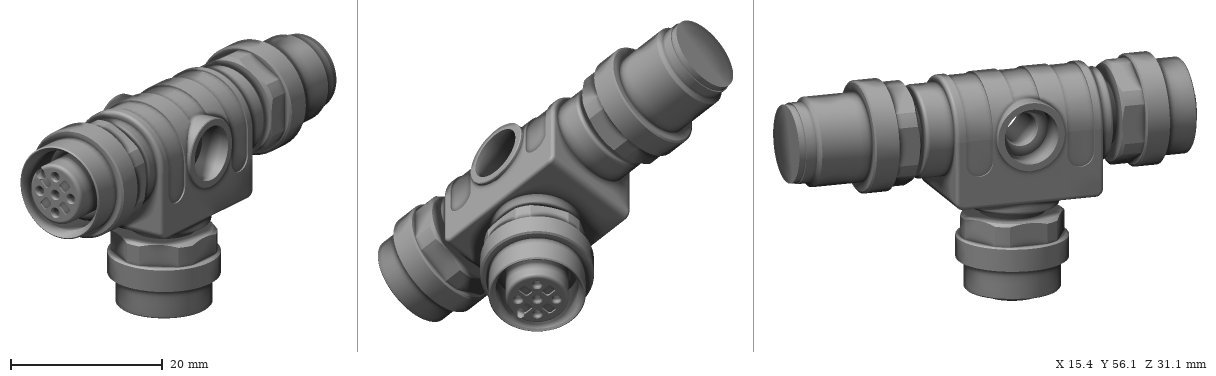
import cadquery as cq
import math


OVERLAP = 0.3

BODY_DIA = 14.4
BODY_HALF_LENGTH = 10.3
BODY_BOTTOM = -9.35
BODY_END_FILLET = 1.05
BODY_EDGE_FILLET = 0.5

GROOVE_DEPTH = 0.2
GROOVE_WIDTH = 3.75
GROOVE_OFFSET = 7.05
GROOVE_END_Z = -3.0

BOSS_DIA = 9.5
BOSS_SPAN = 15.4
BOSS_CHAMFER = 0.1
BOSS_FILLET = 0.4
HOLE_DIA = 4.4
HOLE_CHAMFER = 0.15
COUNTERBORE_DIA = 7.5
COUNTERBORE_DEPTH = 4.2

COLLAR_DIA = 12.5
COLLAR_FILLET = 0.45
NECK_DIA = 8.7
SOCKET_COLLAR_LENGTH = 1.75
SOCKET_NECK_LENGTH = 1.05
PLUG_COLLAR_LENGTH = 3.8
PLUG_NECK_LENGTH = 1.0

HEX_FLATS = 13.05
HEX_CORNERS = 14.05
HEX_LENGTH = 3.1
HEX_CHAMFER_LENGTH = 0.35
RING_DIA = 15.0
RING_CHAMFER_LENGTH = 0.15
RING_CHAMFER_RADIAL = 0.3
SOCKET_RING_LENGTH = 3.35
PLUG_RING_LENGTH = 3.5

SHELL_DIA = 12.8
SHELL_LENGTH = 4.05
SHELL_CHAMFER = 0.15
SHELL_MOUTH_DIA = 12.0
SHELL_BORE_DIA = 11.0
SHELL_MOUTH_CHAMFER = 0.2
SHELL_TAPER_LENGTH = 0.9
SHELL_BORE_DEPTH = 5.9
SEAL_DIA = 9.5

INSERT_DIA = 8.3
INSERT_PROTRUSION = 0.9
INSERT_FILLET = 0.5
KEY_DIA = 1.55
KEY_RADIUS = 3.5
KEY_LENGTH = 3.35
FRONT_KEY_ANGLE = 135
BRANCH_KEY_ANGLE = 90
CONTACT_RADIUS = 2.5
CONTACT_MOUTH_DIA = 1.45
CONTACT_DIA = 1.2
CONTACT_DEPTH = 2.25
PILOT_DIA = 0.7
PILOT_DEPTH = 0.55
POCKET_INNER = 1.35
POCKET_OUTER = 2.95
POCKET_WIDTH = 1.25
POCKET_CORNER = 0.2
POCKET_DEPTH = 0.3

SLEEVE_DIA = 12.0
SLEEVE_LENGTH = 6.95
SLEEVE_TAPER_LENGTH = 0.5
SLEEVE_STEP_DIA = 10.8
SLEEVE_STEP_LENGTH = 1.5
SLEEVE_TIP_DIA = 10.5
SLEEVE_TIP_LENGTH = 0.9


def cylinder(diameter, start, end):
    """Cylinder on the Z axis between two heights."""
    return cq.Workplane("XY").workplane(offset=start).circle(diameter / 2).extrude(end - start)


def arched_prism(radius, floor_z, half_length):
    """Prism along Y with a half-round top on the Y axis and straight sides down to floor_z."""
    return (
        cq.Workplane("XZ")
        .moveTo(-radius, floor_z)
        .lineTo(-radius, 0)
        .threePointArc((0, radius), (radius, 0))
        .lineTo(radius, floor_z)
        .close()
        .extrude(half_length, both=True)
    )


def make_body():
    radius = BODY_DIA / 2
    body = arched_prism(radius, BODY_BOTTOM, BODY_HALF_LENGTH)
    body = body.edges("|X and <Z").fillet(BODY_END_FILLET)
    return body.faces("<Y or >Y").edges("not(|X)").fillet(BODY_EDGE_FILLET)


def cut_grooves(body):
    radius = BODY_DIA / 2
    core = arched_prism(radius - GROOVE_DEPTH, BODY_BOTTOM, BODY_HALF_LENGTH)
    for y in (-GROOVE_OFFSET, 0, GROOVE_OFFSET):
        band = (
            cq.Workplane("YZ")
            .center(y, GROOVE_END_Z)
            .moveTo(-GROOVE_WIDTH / 2, 0)
            .threePointArc((0, -GROOVE_WIDTH / 2), (GROOVE_WIDTH / 2, 0))
            .lineTo(GROOVE_WIDTH / 2, BODY_DIA)
            .lineTo(-GROOVE_WIDTH / 2, BODY_DIA)
            .close()
            .extrude(BODY_DIA, both=True)
        )
        body = body.cut(band.cut(core))
    return body


def make_bosses():
    boss = cq.Workplane("YZ").circle(BOSS_DIA / 2).extrude(BOSS_SPAN / 2, both=True)
    return boss.faces("<X or >X").edges().chamfer(BOSS_CHAMFER)


def add_bosses(body):
    """Join the bosses and round the edges where they meet the floor of the middle groove."""
    body = body.union(make_bosses())
    floor_x = math.sqrt((BODY_DIA / 2 - GROOVE_DEPTH) ** 2 - (BOSS_DIA / 2) ** 2)
    for side in (-1, 1):
        root = cq.selectors.NearestToPointSelector((side * floor_x, 0, BOSS_DIA / 2))
        body = body.edges(root).fillet(BOSS_FILLET)
    return body


def make_mounting_hole():
    hole = cq.Workplane("YZ").circle(HOLE_DIA / 2).extrude(BOSS_SPAN, both=True)
    floor_x = BOSS_SPAN / 2 - COUNTERBORE_DEPTH
    for side in (-1, 1):
        counterbore = (
            cq.Workplane("YZ")
            .workplane(offset=side * floor_x)
            .circle(COUNTERBORE_DIA / 2)
            .extrude(side * BOSS_SPAN)
        )
        rim = cq.Solid.makeCone(
            HOLE_DIA / 2 + HOLE_CHAMFER,
            HOLE_DIA / 2,
            HOLE_CHAMFER,
            pnt=cq.Vector(side * floor_x, 0, 0),
            dir=cq.Vector(-side, 0, 0),
        )
        hole = hole.union(counterbore).union(cq.Workplane(rim))
    return hole




def make_base(collar_length, neck_length):
    """Collar and neck that carry a nut."""
    collar = cylinder(COLLAR_DIA, -OVERLAP, collar_length).faces(">Z").edges().fillet(COLLAR_FILLET)
    neck_end = collar_length + neck_length
    return collar.union(cylinder(NECK_DIA, 0, neck_end + OVERLAP))


def make_nut(start, ring_length):
    """Hexagon with cut corners, followed by a round ring."""
    ring_start = start + HEX_LENGTH
    hexagon = (
        cq.Workplane("XY")
        .workplane(offset=start)
        .polygon(6, HEX_FLATS, circumscribed=True)
        .extrude(HEX_LENGTH + OVERLAP)
    )
    envelope = (
        cylinder(HEX_CORNERS, start, ring_start + OVERLAP)
        .faces("<Z")
        .edges()
        .chamfer(HEX_CHAMFER_LENGTH, (HEX_CORNERS - HEX_FLATS) / 2)
    )
    ring = cylinder(RING_DIA, ring_start, ring_start + ring_length)
    ring = ring.faces("<Z or >Z").edges().chamfer(RING_CHAMFER_LENGTH, RING_CHAMFER_RADIAL)
    return hexagon.intersect(envelope).union(ring)


def make_insert(floor, tip, key_angle):
    """Contact carrier with a key slot, five contact holes and four shallow pockets."""
    insert = cylinder(INSERT_DIA, floor - OVERLAP, tip).faces(">Z").edges().fillet(INSERT_FILLET)
    key = cylinder(KEY_DIA, tip - KEY_LENGTH, tip).translate((KEY_RADIUS, 0, 0))
    contact = cylinder(CONTACT_DIA, tip - CONTACT_DEPTH, tip)
    contact = contact.union(
        cq.Workplane("XY")
        .workplane(offset=tip)
        .circle(CONTACT_MOUTH_DIA / 2)
        .workplane(offset=(CONTACT_DIA - CONTACT_MOUTH_DIA) / 2)
        .circle(CONTACT_DIA / 2)
        .loft()
    )
    pilot = cylinder(PILOT_DIA, tip - CONTACT_DEPTH - PILOT_DEPTH, tip)
    pocket = (
        cq.Workplane("XY")
        .workplane(offset=tip)
        .center((POCKET_INNER + POCKET_OUTER) / 2, 0)
        .rect(POCKET_OUTER - POCKET_INNER, POCKET_WIDTH)
        .extrude(-POCKET_DEPTH)
        .edges("|Z")
        .chamfer(POCKET_CORNER)
    )
    insert = insert.cut(key).cut(contact).cut(pilot)
    outer_contact = contact.translate((CONTACT_RADIUS, 0, 0))
    for quarter in range(4):
        insert = insert.cut(outer_contact.rotate((0, 0, 0), (0, 0, 1), 90 * quarter + 45))
        insert = insert.cut(pocket.rotate((0, 0, 0), (0, 0, 1), 90 * quarter))
    return insert.rotate((0, 0, 0), (0, 0, 1), key_angle)


def make_seal(floor):
    """Round seal lying in the bottom of the shell around the insert."""
    cord_radius = (SHELL_BORE_DIA - SEAL_DIA) / 2
    seal = cq.Solid.makeTorus(SEAL_DIA / 2, cord_radius, cq.Vector(0, 0, floor + cord_radius / 2))
    return cq.Workplane(seal)


def make_shell_cavity(floor, shell_end):
    """Bore that widens through a taper to a chamfered mouth."""
    bore_radius = SHELL_BORE_DIA / 2
    mouth_radius = SHELL_MOUTH_DIA / 2
    taper_end = shell_end - SHELL_MOUTH_CHAMFER
    return (
        cq.Workplane("XZ")
        .moveTo(0, floor)
        .lineTo(bore_radius, floor)
        .lineTo(bore_radius, taper_end - SHELL_TAPER_LENGTH)
        .lineTo(mouth_radius, taper_end)
        .lineTo(mouth_radius + SHELL_MOUTH_CHAMFER, shell_end)
        .lineTo(0, shell_end)
        .close()
        .revolve(360, (0, 0, 0), (0, 1, 0))
    )


def make_socket(key_angle):
    nut_start = SOCKET_COLLAR_LENGTH + SOCKET_NECK_LENGTH
    shell_start = nut_start + HEX_LENGTH + SOCKET_RING_LENGTH
    shell_end = shell_start + SHELL_LENGTH
    floor = shell_end - SHELL_BORE_DEPTH
    shell = cylinder(SHELL_DIA, shell_start - OVERLAP, shell_end)
    shell = shell.faces(">Z").edges().chamfer(SHELL_CHAMFER)
    socket = make_base(SOCKET_COLLAR_LENGTH, SOCKET_NECK_LENGTH)
    socket = socket.union(make_nut(nut_start, SOCKET_RING_LENGTH)).union(shell)
    return (
        socket.cut(make_shell_cavity(floor, shell_end))
        .union(make_seal(floor))
        .union(make_insert(floor, shell_end + INSERT_PROTRUSION, key_angle))
    )


def make_plug():
    nut_start = PLUG_COLLAR_LENGTH + PLUG_NECK_LENGTH
    sleeve_start = nut_start + HEX_LENGTH + PLUG_RING_LENGTH
    sleeve_end = sleeve_start + SLEEVE_LENGTH + SLEEVE_TAPER_LENGTH
    step_end = sleeve_end + SLEEVE_STEP_LENGTH
    sleeve = cylinder(SLEEVE_DIA, sleeve_start - OVERLAP, sleeve_end)
    sleeve = sleeve.faces(">Z").edges().chamfer(SLEEVE_TAPER_LENGTH, (SLEEVE_DIA - SLEEVE_STEP_DIA) / 2)
    return (
        make_base(PLUG_COLLAR_LENGTH, PLUG_NECK_LENGTH)
        .union(make_nut(nut_start, PLUG_RING_LENGTH))
        .union(sleeve)
        .union(cylinder(SLEEVE_STEP_DIA, sleeve_end - OVERLAP, step_end))
        .union(cylinder(SLEEVE_TIP_DIA, step_end - OVERLAP, step_end + SLEEVE_TIP_LENGTH))
    )


def place(fitting, turn, offset):
    """Turn a fitting about X, then move it to its end of the body."""
    return fitting.rotate((0, 0, 0), (1, 0, 0), turn).translate(offset)


front_socket = place(make_socket(FRONT_KEY_ANGLE), 90, (0, -BODY_HALF_LENGTH, 0))
branch_socket = place(make_socket(BRANCH_KEY_ANGLE), 180, (0, 0, BODY_BOTTOM))
plug = place(make_plug(), -90, (0, BODY_HALF_LENGTH, 0))

result = (
    add_bosses(cut_grooves(make_body()))
    .cut(make_mounting_hole())
    .union(front_socket)
    .union(branch_socket)
    .union(plug)
)